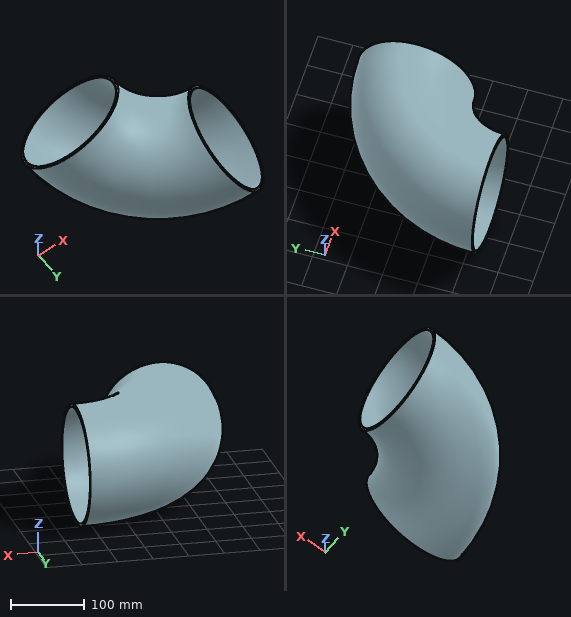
import cadquery as cq

overall_length = 236.2
outer_diameter = 168.4
wall_thickness = 4.0
bend_angle = 90.0

outer_radius = outer_diameter / 2
inner_radius = outer_radius - wall_thickness
bend_radius = overall_length - outer_radius

pipe_section = (
    cq.Workplane("XZ")
    .center(-bend_radius, 0)
    .circle(outer_radius)
    .circle(inner_radius)
)

result = pipe_section.revolve(bend_angle, (bend_radius, 0), (bend_radius, -1))